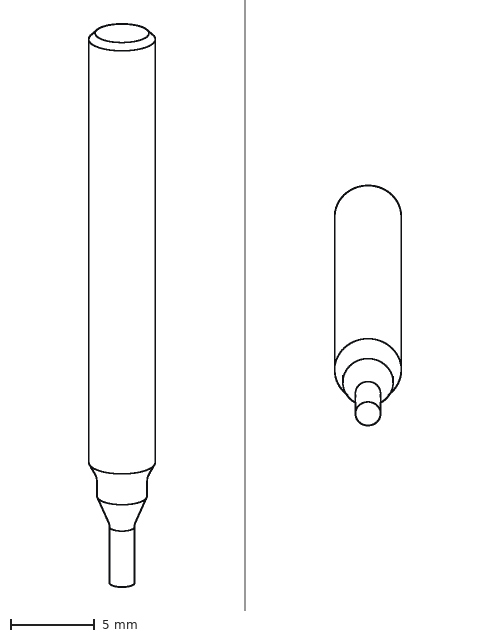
import cadquery as cq
import math

total_length = 35.0
shank_radius = 4.0 / 2
collar_radius = 3.0 / 2
cutter_radius = 1.5 / 2
top_chamfer = 0.4

cutter_length = 3.57
collar_bottom = 5.53
collar_top = 6.48

neck_blend_height = 0.3
shoulder_blend_height = 0.52
shoulder_angle = math.radians(28)


def blend_offset(height, angle):
    """Radial growth of an arc that turns from vertical through angle over a height."""
    return height * math.tan(angle / 2)


def blend_middle(radius, bottom, height, angle):
    """Point halfway along an arc that leaves a cylinder upward and flares outward."""
    arc_radius = height / math.sin(angle)
    return (
        radius + arc_radius * (1 - math.cos(angle / 2)),
        bottom + arc_radius * math.sin(angle / 2),
    )


def make_cutter():
    """Plain cylindrical cutting end, standing on its tip."""
    return cq.Workplane("XY").circle(cutter_radius).extrude(cutter_length)


def make_holder():
    """Revolved shank with shoulder, collar and tapered neck."""
    cone_foot = cutter_length + neck_blend_height / 2
    neck_angle = math.atan2(collar_radius - cutter_radius, collar_bottom - cone_foot)
    neck_end = (
        cutter_radius + blend_offset(neck_blend_height, neck_angle),
        cutter_length + neck_blend_height,
    )
    shoulder_start = (
        collar_radius + blend_offset(shoulder_blend_height, shoulder_angle),
        collar_top + shoulder_blend_height,
    )
    shoulder_cone_height = (shank_radius - shoulder_start[0]) / math.tan(shoulder_angle)
    shank_bottom = shoulder_start[1] + shoulder_cone_height

    return (
        cq.Workplane("XZ")
        .moveTo(0, cutter_length)
        .lineTo(cutter_radius, cutter_length)
        .threePointArc(blend_middle(cutter_radius, cutter_length, neck_blend_height, neck_angle), neck_end)
        .lineTo(collar_radius, collar_bottom)
        .lineTo(collar_radius, collar_top)
        .threePointArc(
            blend_middle(collar_radius, collar_top, shoulder_blend_height, shoulder_angle),
            shoulder_start,
        )
        .lineTo(shank_radius, shank_bottom)
        .lineTo(shank_radius, total_length - top_chamfer)
        .lineTo(shank_radius - top_chamfer, total_length)
        .lineTo(0, total_length)
        .close()
        .revolve(360, (0, 0, 0), (0, 1, 0))
    )


cutter = make_cutter()
holder = make_holder()

result = cq.Compound.makeCompound([holder.val(), cutter.val()])